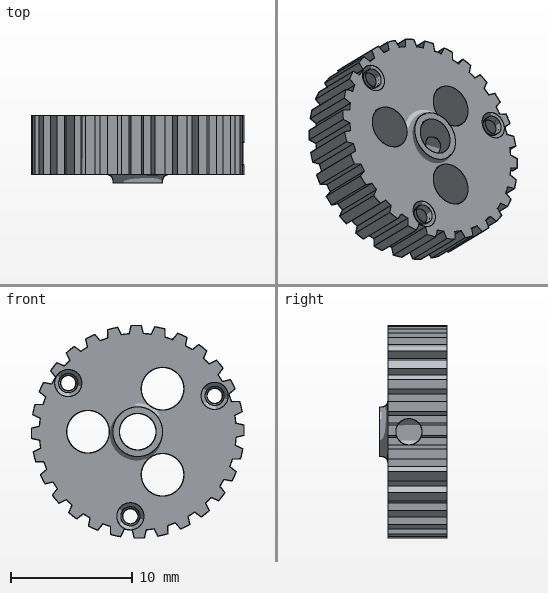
import cadquery as cq
import math

tooth_count = 28
tip_radius = 8.78
root_radius = 8.13
tip_width = 0.86
groove_half_angle = 20.0
first_tooth_angle = 0.85
face_width = 4.9

hub_radius = 2.05
hub_height = 0.7
hub_fillet = 0.5
bore_radius = 1.5

window_count = 3
window_radius = 1.75
window_circle_radius = 4.1
first_window_angle = 60.0

screw_count = 3
screw_circle_radius = 7.0
first_screw_angle = 25.0
screw_radius = 0.62
screw_collar_radius = 0.79
screw_groove_radius = 1.12
screw_groove_depth = screw_groove_radius - screw_collar_radius
screw_taper_depth = 0.5

set_screw_radius = 1.08
set_screw_distance = 1.74

tooth_pitch_angle = 360 / tooth_count
flank_angle = groove_half_angle - tooth_pitch_angle / 2


def polar(radius, degrees):
    """Point in the XZ plane at a radius and an angle from +X towards +Z."""
    angle = math.radians(degrees)
    return (radius * math.cos(angle), radius * math.sin(angle))


def ring_points(count, radius, first_angle):
    return [polar(radius, first_angle + i * 360 / count) for i in range(count)]


def tooth_half_angles():
    """Angles from a tooth's middle to its tip corner and to its root corner."""
    tip_half = math.asin(tip_width / 2 / tip_radius)
    slope = math.radians(flank_angle)
    flank_offset = tip_radius * math.sin(tip_half + slope)
    root_half = math.asin(flank_offset / root_radius) - slope
    return math.degrees(tip_half), math.degrees(root_half)


def toothed_rim():
    tip_half, root_half = tooth_half_angles()
    outline = cq.Workplane("XZ").moveTo(*polar(root_radius, first_tooth_angle - root_half))
    for i in range(tooth_count):
        middle = first_tooth_angle + i * tooth_pitch_angle
        next_middle = middle + tooth_pitch_angle
        outline = (
            outline.lineTo(*polar(tip_radius, middle - tip_half))
            .threePointArc(polar(tip_radius, middle), polar(tip_radius, middle + tip_half))
            .lineTo(*polar(root_radius, middle + root_half))
            .threePointArc(
                polar(root_radius, middle + tooth_pitch_angle / 2),
                polar(root_radius, next_middle - root_half),
            )
        )
    return outline.close().extrude(-face_width)


def hub():
    """Short collar whose foot flares into the front face with a concave fillet."""
    foot_radius = hub_radius + hub_fillet
    arc_reach = hub_fillet * math.sqrt(0.5)
    return (
        cq.Workplane("XY")
        .lineTo(foot_radius, 0)
        .threePointArc(
            (foot_radius - arc_reach, arc_reach - hub_fillet),
            (hub_radius, -hub_fillet),
        )
        .lineTo(hub_radius, -hub_height)
        .lineTo(0, -hub_height)
        .close()
        .revolve(360, (0, 0, 0), (0, 1, 0))
    )


def through_holes(points, radius):
    """Holes running from the hub's end face to the back of the rim."""
    length = hub_height + face_width
    hub_end = cq.Workplane("XZ", origin=(0, -hub_height, 0))
    return hub_end.pushPoints(points).circle(radius).extrude(-length)


def screw_hole(point):
    """V-shaped ring groove around a sharp-edged collar, whose tapered mouth leads to a through hole."""
    x, z = point
    return (
        cq.Workplane("XY")
        .lineTo(screw_collar_radius, 0)
        .lineTo(screw_radius, screw_taper_depth)
        .lineTo(screw_radius, face_width)
        .lineTo(0, face_width)
        .close()
        .revolve(360, (0, 0, 0), (0, 1, 0))
        .union(screw_groove())
        .translate((x, 0, z))
    )


def screw_groove():
    return (
        cq.Workplane("XY")
        .moveTo(screw_collar_radius, 0)
        .lineTo(screw_groove_radius, 0)
        .lineTo(screw_collar_radius, screw_groove_depth)
        .close()
        .revolve(360, (0, 0, 0), (0, 1, 0))
    )


def set_screw_hole():
    plan = cq.Workplane("YZ").center(set_screw_distance, 0)
    return plan.circle(set_screw_radius).extrude(tip_radius)


window_points = ring_points(window_count, window_circle_radius, first_window_angle)
screw_points = ring_points(screw_count, screw_circle_radius, first_screw_angle)

result = toothed_rim().union(hub())
result = result.cut(through_holes([(0, 0)], bore_radius))
result = result.cut(set_screw_hole())
result = result.cut(through_holes(window_points, window_radius))
for screw_point in screw_points:
    result = result.cut(screw_hole(screw_point))